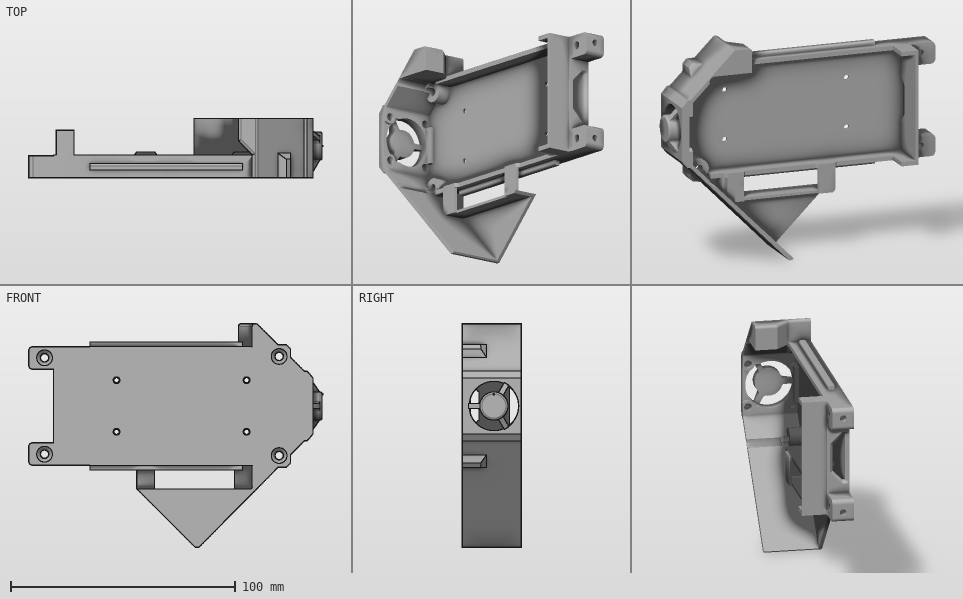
import cadquery as cq
import math

tool_margin = 5.0

tray_half = 26.5
tray_depth = 10.2
body_depth = 26.5
floor = 1.7
side_wall = 2.0
nose_clearance = 20.0
slot_x = 11.07
shoulder_x = 99.7
nose_x = 126.9
lug_top = 36.7
total_height = 99.78
total_length = 131.22
apex_z = lug_top - total_height

slant_sum = 138.5
slant_wall = 1.7
inner_sum = slant_sum - slant_wall * math.sqrt(2)
end_inner_x = 121.75
end_corner_round = 1.3
cavity_half = 25.6
corner_start_z = 15.6
corner_flat = 1.3
nose_half = 12.4
niche_radius = 2.45
niche_z = 23.1
niche_inset = 1.2

guard_top = -36.9
guard_left = 48.2
guard_sum = guard_left + guard_top
apex_flat = 1.5
apex_x = guard_sum - apex_z
ledge_wall = 1.2
strap_height = 1.4
strap_flare = 1.0
strap_width = 8.0
strap_starts = (guard_left, shoulder_x - strap_width)

lug_x = 93.5
lug_slope_y = 16.5
lug_round = 1.3

ear_depth = 9.9
ear_inner = 16.3
ear_round = 2.0
cross_wall_x = (12.3, 20.3)
cross_wall_thickness = 1.4
inner_x = cross_wall_x[0] + cross_wall_thickness
cross_wall_depth = 21.2

rail_x = (27.3, 95.3)
rail_y = (3.5, 6.3)
rail_height = 2.1
rail_round = 1.0

window_top = 7.5
window_flat_half = 6.2
window_half = 10.9
window_bevel = 1.2

screw_hole = 3.6
screw_head = 7.0
screw_cone = 1.7
ear_screw = (7.1, 21.5)
nose_screw = (111.7, 22.1)
post_diameter = 9.0
post_top = 8.0
board_hole = 2.3
board_mouth = 3.0
board_x = (39.2, 97.2)
board_z = 11.5
ear_pilot = 3.0
ear_pilot_y = 5.0
ear_pilot_z = 22.0
ear_pilot_depth = 12.0

pad_points = ((111.1, 27.4), (114.9, 27.4), (116.8, 25.4), (116.8, 21.7))
pad_depth = 11.0

bore_radius = 11.0
bore_y = 14.2
hub_radius = 6.3
hub_end_x = 130.85
hub_round = 0.9
nub_diameter = 0.6
nub_offset = 5.2
arm_count = 3
arm_width = 2.4
arm_back = 2.0
arm_tip_x = 129.9
arm_blend = 1.2
arm_anchor = 0.4
fan_pitch = 20.0
fan_hole = 3.6
fan_lobe = 6.0
seat_depth = 1.5
fan_hole_depth = 3.0
sill_length = 3.0
sill_top = 3.7
sill_half = 8.3


def prism(points, y_start, y_end):
    """Extrude an outline given as (x, z) points from y_start to y_end."""
    plane = cq.Workplane("XZ", origin=(0, y_start, 0))
    return plane.polyline(points).close().extrude(y_start - y_end)


def box(x, y, z):
    """Box from three (low, high) spans."""
    size = [high - low for low, high in (x, y, z)]
    return cq.Workplane("XY").box(*size, centered=False).translate((x[0], y[0], z[0]))


def rod_y(x, z, diameter, y_start, y_end):
    plane = cq.Workplane("XZ", origin=(x, y_start, z))
    return plane.circle(diameter / 2).extrude(y_start - y_end)


def rod_x(y, z, diameter, x_start, x_end):
    plane = cq.Workplane("YZ", origin=(x_start, y, z))
    return plane.circle(diameter / 2).extrude(x_end - x_start)


def mirrored(shape):
    return shape.union(shape.mirror("XY"))


def tray():
    """Shallow tray whose cross wall stands taller, with a short cheek on either side."""
    outside = box((slot_x, nose_x - nose_clearance), (0, tray_depth), (-tray_half, tray_half))
    tall = box(cross_wall_x, (0, cross_wall_depth), (-tray_half, tray_half))
    inner_half = tray_half - side_wall
    inside = box((inner_x, nose_x - nose_clearance), (floor, body_depth), (-inner_half, inner_half))
    return outside.union(tall).cut(inside)


def ears():
    ear = box((0, cross_wall_x[0]), (0, ear_depth), (ear_inner, tray_half))
    ear = ear.edges("|Y and <X").fillet(ear_round)
    return mirrored(ear)


def half_outline():
    """Upper nose outline from the slanted side down to the nose end."""
    corner_x = slant_sum - corner_start_z
    return [
        (slant_sum - cavity_half, cavity_half),
        (corner_x, corner_start_z),
        (corner_x + corner_flat, corner_start_z),
        (nose_x, nose_half),
    ]


def nose():
    """Hollow nose with the triangular guard, its ledge and the shoulder wall below the tray."""
    upper = half_outline()
    lower = [(x, -z) for x, z in reversed(upper[1:])]
    outer_apex = (apex_x + apex_flat, apex_z)
    outline = upper + lower + [outer_apex, (apex_x, apex_z), (guard_left, guard_top)]
    outline += [
        (inner_sum + guard_top, guard_top),
        (shoulder_x, shoulder_x - inner_sum),
        (shoulder_x, cavity_half),
    ]
    shell = prism(outline, 0, body_depth)

    inner_end_z = inner_sum - end_inner_x
    cavity_corner = (inner_sum - cavity_half, cavity_half)
    inner_apex = ((guard_sum + inner_sum) / 2, (guard_sum - inner_sum) / 2)
    far_left = guard_left - tool_margin
    cavity = prism(
        [
            (far_left, cavity_half),
            cavity_corner,
            (end_inner_x, inner_end_z),
            (end_inner_x, -inner_end_z),
            inner_apex,
            (far_left, inner_apex[1]),
        ],
        floor,
        body_depth,
    )
    cavity = cavity.edges("|Y and >X").fillet(end_corner_round)
    ledge_bottom = guard_top - ledge_wall
    ledge = prism(
        [
            (guard_left, guard_top),
            (inner_sum + guard_top, guard_top),
            (inner_sum + ledge_bottom, ledge_bottom),
            (guard_left + ledge_wall, ledge_bottom),
        ],
        0,
        tray_depth,
    )
    shoulder = prism(
        [
            (shoulder_x, -tray_half),
            (shoulder_x + side_wall, -tray_half),
            (shoulder_x + side_wall, shoulder_x + side_wall - inner_sum),
            (shoulder_x, shoulder_x - inner_sum),
        ],
        0,
        tray_depth,
    )
    niche_x = inner_sum - niche_inset * math.sqrt(2) - niche_z
    niche = rod_y(niche_x, niche_z, 2 * niche_radius, pad_depth, body_depth)
    return shell.cut(cavity).union(ledge).union(shoulder).cut(mirrored(niche))


def straps():
    """Two thin straps tying the guard ledge to the tray, flared where they lie on the tray wall."""
    y_span = (tray_depth, tray_depth + strap_height)
    ledge_bottom = guard_top - ledge_wall
    pair = cq.Workplane("XY")
    for low in strap_starts:
        high = low + strap_width
        strap = box((low, high), y_span, (ledge_bottom, -tray_half + side_wall))
        flare = cq.Workplane("XY", origin=(0, 0, -tray_half)).polyline([
            (low - strap_flare, y_span[0]),
            (high + strap_flare, y_span[0]),
            (high, y_span[1]),
            (low, y_span[1]),
        ])
        pair = pair.add(strap.union(flare.close().extrude(side_wall)))
    corner_cut = prism(
        [
            (guard_left - tool_margin, guard_top),
            (guard_left, guard_top),
            (guard_left + tool_margin, guard_top - tool_margin),
            (guard_left - tool_margin, guard_top - tool_margin),
        ],
        0,
        body_depth,
    )
    return pair.combine().cut(corner_cut)


def lug():
    """Upright block above the tray, bevelled towards the shoulder and rounded along its top."""
    slant_start = slant_sum - cavity_half
    plan = [
        (shoulder_x, 0),
        (shoulder_x, tray_depth),
        (lug_x, lug_slope_y),
        (lug_x, body_depth),
        (slant_start, body_depth),
        (slant_start, 0),
    ]
    block = cq.Workplane("XY", origin=(0, 0, cavity_half)).polyline(plan).close()
    block = block.extrude(lug_top - cavity_half)
    slanted = prism(
        [
            (lug_x, cavity_half),
            (slant_start, cavity_half),
            (slant_sum - lug_top, lug_top),
            (lug_x, lug_top),
        ],
        0,
        body_depth,
    )
    return block.intersect(slanted).faces(">Z").edges("not |X").fillet(lug_round)


def rails():
    rail = box(rail_x, rail_y, (tray_half - side_wall / 2, tray_half + rail_height))
    return mirrored(rail.edges("|X and >Y and >Z").fillet(rail_round))


def pads():
    """Bumps carrying the nose screws; their upper ends slope into the slanted side."""
    pad = prism([*pad_points, nose_screw], 0, pad_depth)
    reach = pad_depth
    root = (slant_sum / 2, pad_depth, slant_sum / 2)
    slope_plane = cq.Plane(origin=root, xDir=(1, 0, 1), normal=(1, 0, -1))
    wedge = cq.Workplane(slope_plane).polyline([(0, 0), (reach, 0), (reach, reach)]).close()
    wedge = wedge.extrude(slant_sum, both=True)
    return mirrored(pad.cut(wedge))


def screw_posts():
    return mirrored(rod_y(*nose_screw, post_diameter, 0, post_top))


def countersunk(x, z, hole, mouth, cone_depth):
    shaft = rod_y(x, z, hole, 0, body_depth)
    cone = cq.Solid.makeCone(mouth / 2, hole / 2, cone_depth, cq.Vector(x, 0, z), cq.Vector(0, 1, 0))
    return shaft.union(cq.Workplane(cone))


def screw_holes():
    holes = countersunk(*ear_screw, screw_hole, screw_head, screw_cone)
    holes = holes.union(countersunk(*nose_screw, screw_hole, screw_head, screw_cone))
    board_cone = (board_mouth - board_hole) / 2
    for x in board_x:
        holes = holes.union(countersunk(x, board_z, board_hole, board_mouth, board_cone))
    holes = holes.union(rod_x(ear_pilot_y, ear_pilot_z, ear_pilot, 0, ear_pilot_depth))
    return mirrored(holes)


def window():
    """Six-sided opening through the cross wall with a bevelled mouth."""
    tip_y = window_top - (window_half - window_flat_half)
    points = [
        (floor, -window_half),
        (tip_y, -window_half),
        (window_top, -window_flat_half),
        (window_top, window_flat_half),
        (tip_y, window_half),
        (floor, window_half),
    ]
    throat = cq.Workplane("YZ", origin=(slot_x, 0, 0)).polyline(points).close()
    throat = throat.extrude(cross_wall_x[1] - slot_x)
    mouth = cq.Workplane("YZ", origin=(slot_x + window_bevel, 0, 0)).polyline(points).close()
    mouth = mouth.extrude(-window_bevel, taper=-45)
    return throat.union(mouth)


def spider():
    """Round hub held in the bore by three arms under a common cone, with a small nub on its end."""
    back_x = nose_x - arm_back
    arm_reach = bore_radius + arm_anchor
    star = cq.Workplane("YZ", origin=(back_x, 0, 0)).circle(hub_radius).extrude(arm_tip_x - back_x)
    arm = box((back_x, arm_tip_x), (-arm_reach, 0), (-arm_width / 2, arm_width / 2))
    for index in range(arm_count):
        angle = index * 360 / arm_count
        star = star.union(arm.rotate((0, 0, 0), (1, 0, 0), angle))
    beside_hub = cq.selectors.BoxSelector(
        (back_x, -hub_radius, -hub_radius),
        (arm_tip_x, hub_radius, hub_radius),
    )
    star = star.edges("|X").edges(beside_hub).fillet(arm_blend)
    cone_profile = [
        (back_x, 0),
        (arm_tip_x, 0),
        (arm_tip_x, hub_radius),
        (nose_x, arm_reach),
        (back_x, arm_reach),
    ]
    cone = cq.Workplane("XZ").polyline(cone_profile).close().revolve(360, (0, 0, 0), (1, 0, 0))
    hub = rod_x(0, 0, 2 * hub_radius, back_x, hub_end_x).faces(">X").edges().fillet(hub_round)
    nub = rod_x(0, nub_offset, nub_diameter, arm_tip_x, total_length)
    return star.intersect(cone).union(hub).union(nub).translate((0, bore_y, 0))


def fan_positions():
    half = fan_pitch / 2
    return [(bore_y + y, z) for y in (-half, half) for z in (-half, half)]


def fan_seat():
    """Shallow recess between the four fan lobes on the inner face of the nose end."""
    half = fan_pitch / 2
    seat = box((end_inner_x, end_inner_x + seat_depth), (bore_y, body_depth), (-half, half))
    for y, z in fan_positions():
        seat = seat.cut(rod_x(y, z, fan_lobe, end_inner_x, end_inner_x + seat_depth))
    return seat


def fan_holes():
    holes = cq.Workplane("XY")
    for y, z in fan_positions():
        holes = holes.add(rod_x(y, z, fan_hole, end_inner_x, end_inner_x + fan_hole_depth))
    return holes.combine()


def sill():
    """Low block on the tray floor in front of the bore."""
    return box((end_inner_x - sill_length, end_inner_x), (0, sill_top), (-sill_half, sill_half))


body = tray().union(ears()).union(nose()).union(straps()).union(lug()).union(rails())
body = body.union(pads()).union(screw_posts()).union(sill())
body = body.cut(rod_x(bore_y, 0, 2 * bore_radius, end_inner_x, nose_x))
body = body.cut(fan_seat()).cut(fan_holes()).cut(window()).cut(screw_holes())
result = body.union(spider())